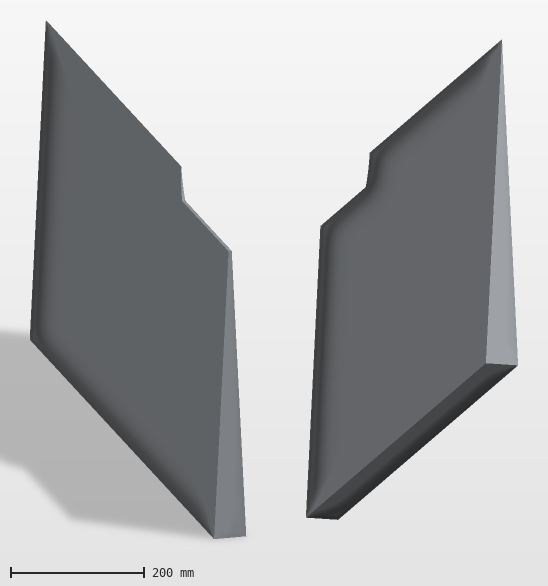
import cadquery as cq
import math

length = 1000.0
base_width = 50.0
height = 500.0

step_start = 735.0
step_depth = 50.0
step_radius = 100.0


def arc_point(drop):
    """X and Z on the step's arc, whose centre is level with the sharp edge."""
    reach = math.sqrt(step_radius**2 - drop**2)
    return (step_start + step_radius - reach, height - drop)


def make_wedge():
    """Symmetric triangular prism running along X, sharp edge upward."""
    return (
        cq.Workplane("YZ")
        .moveTo(-base_width / 2, 0)
        .lineTo(base_width / 2, 0)
        .lineTo(0, height)
        .close()
        .extrude(length)
    )


def make_step_cutter():
    """Material removed above the lowered stretch of the edge."""
    return (
        cq.Workplane("XZ")
        .moveTo(step_start, height)
        .threePointArc(arc_point(step_depth / 2), arc_point(step_depth))
        .lineTo(length, height - step_depth)
        .lineTo(length, height)
        .close()
        .extrude(base_width / 2, both=True)
    )


result = make_wedge().cut(make_step_cutter())